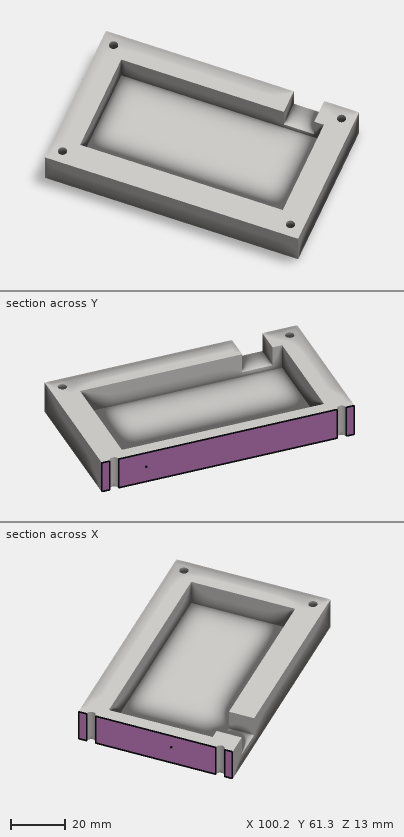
import cadquery as cq

length = 100.2
width = 61.3
height = 13.0

wall = 10.0
floor_thickness = 3.0

notch_width = 12.0
notch_depth = 8.0
notch_to_end = 13.8

hole_diameter = 3.4
hole_inset = 5.0


def corner_box(size_x, size_y, size_z, corner):
    """Box with its lowest corner at the given point."""
    return cq.Workplane("XY").box(size_x, size_y, size_z, centered=False).translate(corner)


block = corner_box(length, width, height, (-length / 2, -width / 2, 0))

pocket_length = length - 2 * wall
pocket_width = width - 2 * wall
pocket = corner_box(
    pocket_length,
    pocket_width,
    height - floor_thickness,
    (-pocket_length / 2, -pocket_width / 2, floor_thickness),
)

notch = corner_box(
    notch_width,
    wall,
    notch_depth,
    (length / 2 - notch_to_end - notch_width, width / 2 - wall, height - notch_depth),
)

screw_holes = (
    cq.Workplane("XY")
    .rect(length - 2 * hole_inset, width - 2 * hole_inset, forConstruction=True)
    .vertices()
    .circle(hole_diameter / 2)
    .extrude(height)
)

result = block.cut(pocket).cut(notch).cut(screw_holes)